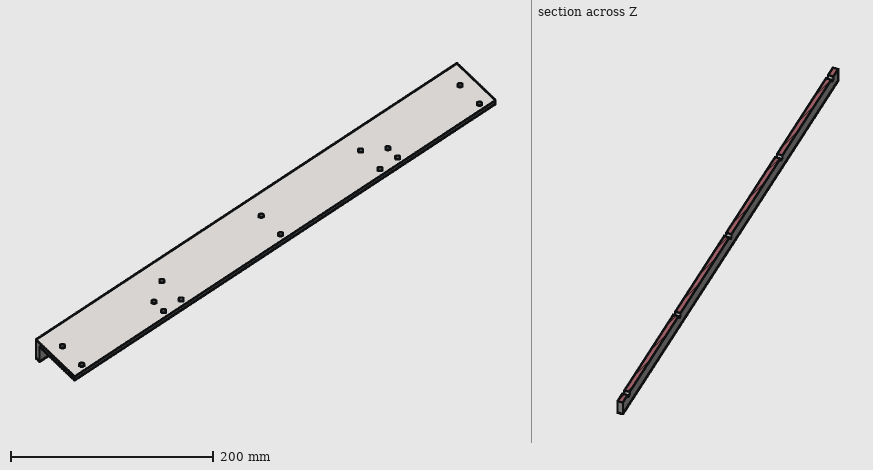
import cadquery as cq

width = 60.0
length = 540.0
height = 30.0
thickness = 6.0

main_hole_diameter = 5.0
pair_hole_diameter = 4.92
main_row_count = 5
end_margin = 15.0
pair_offset = 150.0

edge_margin = 7.0
main_hole_spacing = 30.0
pair_hole_spacing = 15.0
leg_hole_drop = 16.0

main_pitch = (length - 2 * end_margin) / (main_row_count - 1)
main_rows = [-length / 2 + end_margin + row * main_pitch for row in range(main_row_count)]
outer_hole_x = width / 2 - edge_margin


def angle_bar():
    """L-shaped bar along Y, with the flange on top and the leg on the -X side."""
    left = -width / 2
    right = width / 2
    top = height / 2
    bottom = -height / 2
    outline = [
        (left, bottom),
        (left, top),
        (right, top),
        (right, top - thickness),
        (left + thickness, top - thickness),
        (left + thickness, bottom),
    ]
    return cq.Workplane("XZ").polyline(outline).close().extrude(length / 2, both=True)


def flange_drills(rows, hole_spacing, diameter):
    """Vertical drills, two per row: one near the free edge and one further in."""
    points = [(outer_hole_x - inset, y) for y in rows for inset in (0, hole_spacing)]
    flange_bottom = height / 2 - thickness
    return (
        cq.Workplane("XY", origin=(0, 0, flange_bottom))
        .pushPoints(points)
        .circle(diameter / 2)
        .extrude(thickness)
    )


def leg_drills():
    """Horizontal drills through the leg, one at each main row."""
    hole_z = height / 2 - leg_hole_drop
    return (
        cq.Workplane("YZ", origin=(-width / 2, 0, 0))
        .pushPoints([(y, hole_z) for y in main_rows])
        .circle(main_hole_diameter / 2)
        .extrude(thickness)
    )


result = (
    angle_bar()
    .cut(flange_drills(main_rows, main_hole_spacing, main_hole_diameter))
    .cut(flange_drills((-pair_offset, pair_offset), pair_hole_spacing, pair_hole_diameter))
    .cut(leg_drills())
)